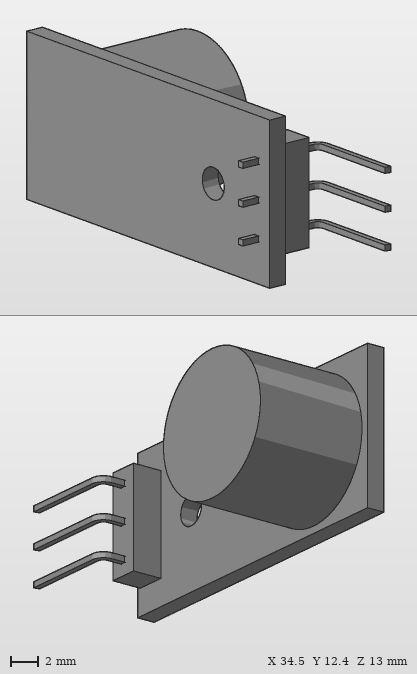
import cadquery as cq

board_length = 28.0
board_height = 13.0
board_thickness = 1.5
mount_hole_diameter = 2.5
mount_hole_x = 21.5

buzzer_diameter = 11.8
buzzer_height = 9.37
buzzer_x = 6.58

overall_length = 34.45
pin_count = 3
pin_pitch = 3.0
pin_width = 0.48
pin_end_gap = 1.5
pin_x = board_length - pin_end_gap
pin_tail = 1.5
pin_arm_height = 4.72
pin_outer_bend = 1.0
pin_inner_bend = pin_outer_bend - pin_width
pin_tip_slant = 0.1
block_width = 2.5
block_end_gap = 0.3
block_x = board_length - block_end_gap - block_width / 2
block_depth = 2.5
block_height = (pin_count - 1) * pin_pitch + block_width

pin_levels = [(i - (pin_count - 1) / 2) * pin_pitch for i in range(pin_count)]


def box_on_y(width, depth, height, center_x, start_y):
    """Box centred on Z = 0 that runs from start_y toward +Y."""
    return (
        cq.Workplane("XY")
        .box(width, depth, height, centered=(True, False, True))
        .translate((center_x, start_y, 0))
    )


def cylinder_on_y(diameter, length, center_x, start_y):
    """Cylinder along +Y with its axis at Z = 0."""
    axis_start = cq.Vector(center_x, start_y, 0)
    solid = cq.Solid.makeCylinder(diameter / 2, length, axis_start, cq.Vector(0, 1, 0))
    return cq.Workplane(obj=solid)


def make_pin(level):
    """Square pin that rises through the board and bends toward +X."""
    left = pin_x - pin_width / 2
    right = left + pin_width
    arm_top = board_thickness + pin_arm_height
    arm_bottom = arm_top - pin_width
    bend_x = left + pin_outer_bend
    bend_y = arm_top - pin_outer_bend
    diagonal = 0.5 ** 0.5
    outer_mid = (bend_x - pin_outer_bend * diagonal, bend_y + pin_outer_bend * diagonal)
    inner_mid = (bend_x - pin_inner_bend * diagonal, bend_y + pin_inner_bend * diagonal)
    return (
        cq.Workplane("XY")
        .moveTo(left, -pin_tail)
        .lineTo(left, bend_y)
        .threePointArc(outer_mid, (bend_x, arm_top))
        .lineTo(overall_length, arm_top)
        .lineTo(overall_length - pin_tip_slant, arm_bottom)
        .lineTo(bend_x, arm_bottom)
        .threePointArc(inner_mid, (right, bend_y))
        .lineTo(right, -pin_tail)
        .close()
        .extrude(pin_width / 2, both=True)
        .translate((0, 0, level))
        .solids()
    )


def make_board(pins):
    """Plate with a mounting hole and a fitted hole for each pin."""
    plate = box_on_y(board_length, board_thickness, board_height, board_length / 2, 0)
    plate = plate.cut(cylinder_on_y(mount_hole_diameter, board_thickness, mount_hole_x, 0))
    for pin in pins:
        plate = plate.cut(pin)
    return plate.solids()


def make_buzzer():
    """Plain cylinder resting on the board."""
    return cylinder_on_y(buzzer_diameter, buzzer_height, buzzer_x, board_thickness)


def make_header_block(pins):
    """Block resting on the board, with a fitted hole for each pin."""
    block = box_on_y(block_width, block_depth, block_height, block_x, board_thickness)
    for pin in pins:
        block = block.cut(pin)
    return block.solids()


pins = [make_pin(level) for level in pin_levels]
board = make_board(pins)
buzzer = make_buzzer()
header_block = make_header_block(pins)

result = cq.Compound.makeCompound(
    [board.val(), buzzer.val(), header_block.val(), *[pin.val() for pin in pins]]
)